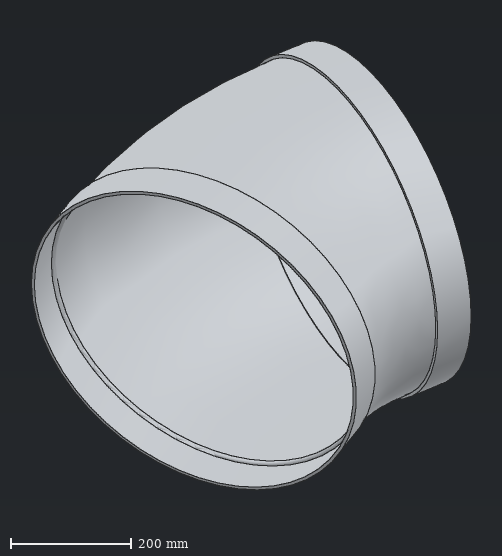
import cadquery as cq
import math

bend_angle = 30.0
bend_radius = 600.0
pipe_diameter = 600.0
pipe_wall = 6.0
pipe_bore = pipe_diameter - 2 * pipe_wall

collar_length = 66.0
collar_wall = 6.0
collar_diameter = pipe_diameter + 2 * collar_wall
collar_bore = pipe_diameter
lip_radius = collar_bore / 2 - pipe_bore / 2

angle = math.radians(bend_angle)
bend_start = cq.Vector(0, collar_length, 0)
bend_end = bend_start + cq.Vector(
    bend_radius * (1 - math.cos(angle)), bend_radius * math.sin(angle), 0
)
inlet_axis = cq.Vector(0, 1, 0)
outlet_axis = cq.Vector(math.sin(angle), math.cos(angle), 0)


def bend_solid(diameter):
    """Solid round bar following the bend."""
    section = cq.Workplane(cq.Plane(bend_start, cq.Vector(1, 0, 0), inlet_axis))
    pivot = (bend_radius, 0, 0)
    pivot_axis_end = (bend_radius, 1, 0)
    return section.circle(diameter / 2).revolve(bend_angle, pivot, pivot_axis_end)


def collar(pipe_end, outward):
    """Sleeve running outward from a pipe end, with a rounded lip where it meets the pipe bore."""
    lip_angle = math.radians(45)
    lip_middle = (
        collar_bore / 2 - lip_radius * math.cos(lip_angle),
        lip_radius * math.sin(lip_angle),
    )
    radial = outward.cross(cq.Vector(0, 0, 1))
    half_section = cq.Plane(pipe_end, radial, radial.cross(outward))
    return (
        cq.Workplane(half_section)
        .moveTo(pipe_bore / 2, 0)
        .threePointArc(lip_middle, (collar_bore / 2, lip_radius))
        .lineTo(collar_bore / 2, collar_length)
        .lineTo(collar_diameter / 2, collar_length)
        .lineTo(collar_diameter / 2, 0)
        .close()
        .revolve(360, (0, 0, 0), (0, 1, 0))
    )


bend = bend_solid(pipe_diameter).cut(bend_solid(pipe_bore))
inlet_collar = collar(bend_start, -inlet_axis)
outlet_collar = collar(bend_end, outlet_axis)

result = bend.union(inlet_collar).union(outlet_collar)